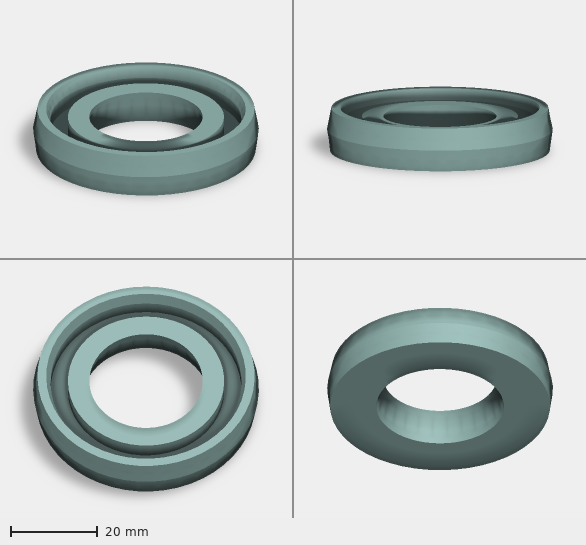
import cadquery as cq

outer_radius = 26.0
height = 10.0
waist_height = height / 2
top_radius = 25.0
bottom_radius = 25.3

rim_inner_radius = 23.0
recess_radius = 22.0
rim_taper_depth = 2.5
recess_depth = 6.0

boss_radius = 18.0
boss_drop = 2.0
bore_top_radius = 13.05
bore_bottom_radius = 14.7

boss_top = height - boss_drop
recess_floor = height - recess_depth

half_section = [
    (bore_bottom_radius, 0),
    (bottom_radius, 0),
    (outer_radius, waist_height),
    (top_radius, height),
    (rim_inner_radius, height),
    (recess_radius, height - rim_taper_depth),
    (recess_radius, recess_floor),
    (boss_radius, recess_floor),
    (boss_radius, boss_top),
    (bore_top_radius, boss_top),
]

result = (
    cq.Workplane("XZ")
    .polyline(half_section)
    .close()
    .revolve(360, (0, 0), (0, 1))
)